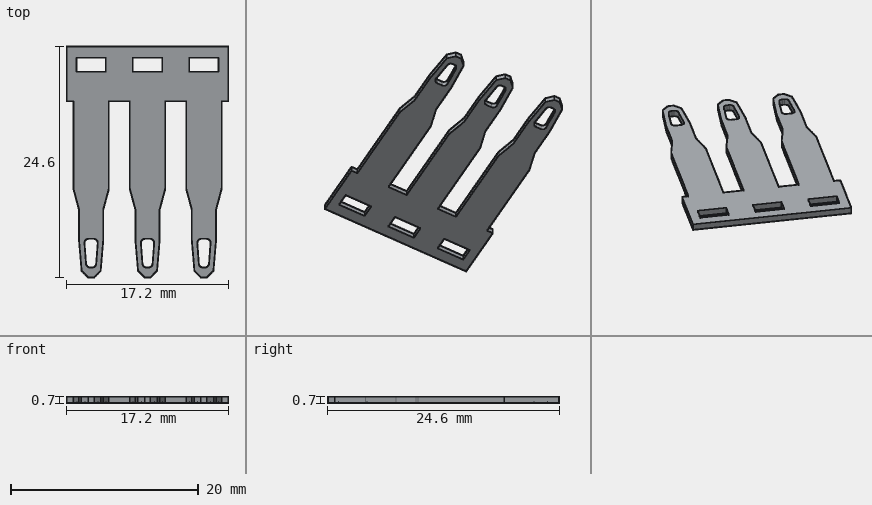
import cadquery as cq

thickness = 0.7
overall_length = 24.6

bar_width = 17.2
bar_depth = 5.86

window_width = 3.1
window_height = 1.44
window_edge_margin = 1.24

prong_count = 3
prong_pitch = 6.0
shank_width = 3.8
neck_width = 2.6
nose_width = 2.05
tip_width = 0.63
shoulder_radius = 0.8

shoulder_from_tip = 9.45
neck_from_tip = 7.22
neck_end_from_tip = 3.95
nose_from_tip = 0.72

eye_near_from_tip = 1.08
eye_length = 3.03
eye_wide_width = 1.45
eye_narrow_width = 1.0
eye_corner_radius = 0.42

selection_margin = 0.1

back_y = overall_length / 2
tip_y = -overall_length / 2
bar_front_y = back_y - bar_depth
bottom_z = -thickness / 2
prong_positions = [(i - (prong_count - 1) / 2) * prong_pitch for i in range(prong_count)]


def symmetric_plate(center_x, stations):
    """Plate mirrored about x = center_x; stations are (width, y) pairs in order along y."""
    right_side = [(center_x + width / 2, y) for width, y in stations]
    left_side = [(center_x - width / 2, y) for width, y in reversed(stations)]
    outline = cq.Workplane("XY").workplane(offset=bottom_z).polyline(right_side + left_side)
    return outline.close().extrude(thickness)


def crossbar():
    return symmetric_plate(0, [(bar_width, back_y), (bar_width, bar_front_y)])


def window(center_x):
    window_back_y = back_y - window_edge_margin
    window_front_y = window_back_y - window_height
    return symmetric_plate(center_x, [(window_width, window_back_y), (window_width, window_front_y)])


def prong(center_x):
    stations = [
        (shank_width, bar_front_y),
        (shank_width, tip_y + shoulder_from_tip),
        (neck_width, tip_y + neck_from_tip),
        (neck_width, tip_y + neck_end_from_tip),
        (nose_width, tip_y + nose_from_tip),
        (tip_width, tip_y),
    ]
    blank = symmetric_plate(center_x, stations)
    shoulder_y = tip_y + shoulder_from_tip
    shoulder_band = cq.selectors.BoxSelector(
        (center_x - shank_width, shoulder_y - selection_margin, -thickness),
        (center_x + shank_width, shoulder_y + selection_margin, thickness),
    )
    return blank.edges("|Z").edges(shoulder_band).fillet(shoulder_radius)


def eye(center_x):
    narrow_y = tip_y + eye_near_from_tip
    wide_y = narrow_y + eye_length
    opening = symmetric_plate(center_x, [(eye_wide_width, wide_y), (eye_narrow_width, narrow_y)])
    return opening.edges("|Z").fillet(eye_corner_radius)


result = crossbar()
for x in prong_positions:
    result = result.union(prong(x))
for x in prong_positions:
    result = result.cut(window(x)).cut(eye(x))